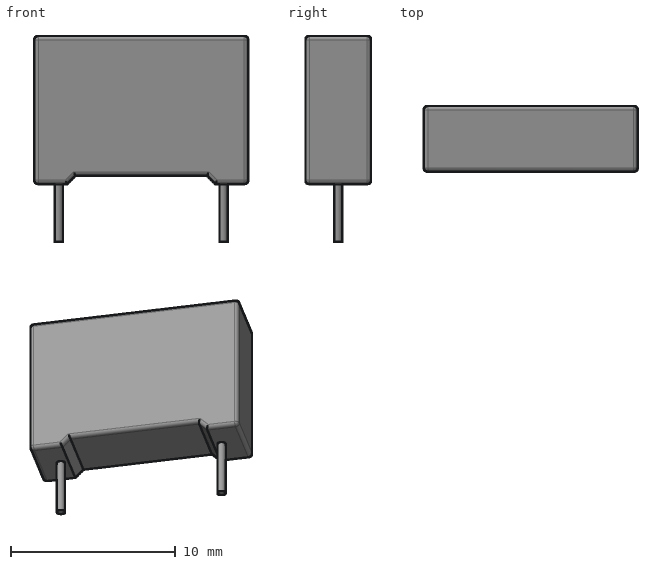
import cadquery as cq


case_length = 13.0
case_width = 4.0
case_height = 9.01
edge_radius = 0.25

relief_depth = 0.51
relief_top_length = 8.0
relief_bottom_length = relief_top_length + 2 * relief_depth

lead_diameter = 0.51
lead_spacing = 10.0
lead_length = 3.5
lead_embed = 2 * edge_radius


def make_case():
    """Case with a trapezoidal relief along its underside and rounded edges."""
    half_length = case_length / 2
    half_bottom = relief_bottom_length / 2
    half_top = relief_top_length / 2
    outline = [
        (-half_length, 0),
        (-half_bottom, 0),
        (-half_top, relief_depth),
        (half_top, relief_depth),
        (half_bottom, 0),
        (half_length, 0),
        (half_length, case_height),
        (-half_length, case_height),
    ]
    block = (
        cq.Workplane("XZ")
        .polyline(outline)
        .close()
        .extrude(case_width / 2, both=True)
    )
    return block.faces("<Y or >Y or <X or >X").edges().fillet(edge_radius)


def make_leads():
    """Two straight leads below the case."""
    return (
        cq.Workplane("XY", origin=(0, 0, -lead_length))
        .rarray(lead_spacing, 0.13, 2, 1)
        .circle(lead_diameter / 2)
        .extrude(lead_length + lead_embed)
    )


result = make_case().union(make_leads())